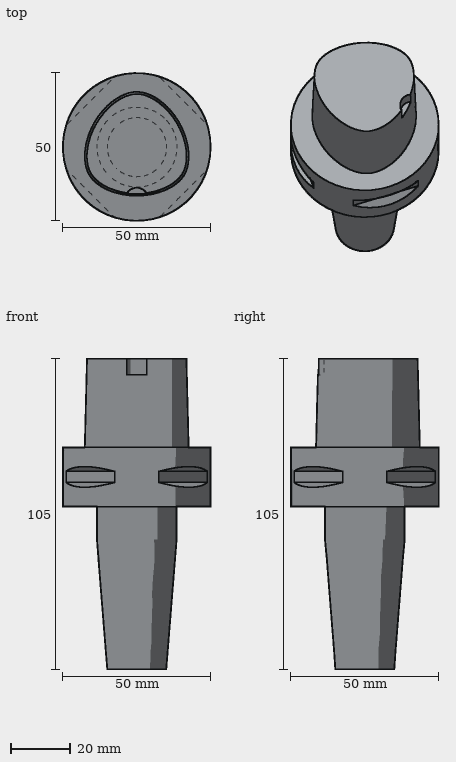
import cadquery as cq
import math


shank_height = 30.0
shank_base_width = 35.15
shank_taper = 1 / 20
lobe_amplitude = 1.05
lobe_count = 3
lobe_half_angle = 35.0
points_per_face = 9

notch_diameter = 8.0
notch_depth = 5.5
notch_center_y = -17.8

flange_diameter = 50.0
flange_height = 20.0

slot_count = 4
slot_first_angle = 45.0
slot_floor_distance = 22.15
slot_floor_height = 3.7
slot_flank_angle = 30.0
slot_cut_margin = 1.0

neck_diameter = 27.0
neck_height = 11.2
tip_diameter = 20.0
overall_height = 105.0

flange_bottom = -flange_height
neck_bottom = flange_bottom - neck_height
tip_bottom = shank_height - overall_height


def shank_point(width, normal_angle, z):
    """Point of the lobed profile whose outward normal has the given angle, in degrees from +Y."""
    angle = math.radians(normal_angle)
    support = width / 2 + lobe_amplitude * math.cos(lobe_count * angle)
    slope = -lobe_count * lobe_amplitude * math.sin(lobe_count * angle)
    x = support * math.sin(angle) + slope * math.cos(angle)
    y = support * math.cos(angle) - slope * math.sin(angle)
    return cq.Vector(x, y, z)


def shank_edge(width, start_angle, end_angle, z):
    """Smooth curve along one face of the profile, tangent to its neighbours."""
    step = (end_angle - start_angle) / (points_per_face - 1)
    points = [shank_point(width, start_angle + i * step, z) for i in range(points_per_face)]
    tangents = [
        cq.Vector(math.cos(math.radians(a)), -math.sin(math.radians(a)), 0)
        for a in (start_angle, end_angle)
    ]
    return cq.Edge.makeSpline(points, tangents=tangents)


def shank_profile(width, z):
    pitch = 360 / lobe_count
    edges = []
    for i in range(lobe_count):
        lobe_angle = i * pitch
        lobe_start = lobe_angle - lobe_half_angle
        lobe_end = lobe_angle + lobe_half_angle
        edges.append(shank_edge(width, lobe_start, lobe_end, z))
        edges.append(shank_edge(width, lobe_end, lobe_start + pitch, z))
    return cq.Wire.assembleEdges(edges)


def make_shank():
    top_width = shank_base_width - shank_taper * shank_height
    base = shank_profile(shank_base_width, 0)
    top = shank_profile(top_width, shank_height)
    return cq.Workplane(obj=cq.Solid.makeLoft([base, top], True))


def make_notch():
    return (
        cq.Workplane("XY", origin=(0, notch_center_y, shank_height - notch_depth))
        .circle(notch_diameter / 2)
        .extrude(notch_depth)
    )


def make_flange_and_nose():
    """Flange, neck and cone turned in one piece about the Z axis."""
    return (
        cq.Workplane("XZ")
        .moveTo(0, 0)
        .lineTo(flange_diameter / 2, 0)
        .lineTo(flange_diameter / 2, flange_bottom)
        .lineTo(neck_diameter / 2, flange_bottom)
        .lineTo(neck_diameter / 2, neck_bottom)
        .lineTo(tip_diameter / 2, tip_bottom)
        .lineTo(0, tip_bottom)
        .close()
        .revolve(360, (0, 0), (0, 1))
    )


def make_slot(angle):
    """Cutter with a trapezoid section that widens outwards from the slot floor."""
    outer_distance = flange_diameter / 2 + slot_cut_margin
    flare = (outer_distance - slot_floor_distance) * math.tan(math.radians(slot_flank_angle))
    floor_half = slot_floor_height / 2
    outer_half = floor_half + flare
    section = [
        (slot_floor_distance, -floor_half),
        (outer_distance, -outer_half),
        (outer_distance, outer_half),
        (slot_floor_distance, floor_half),
    ]
    return (
        cq.Workplane("XZ", origin=(0, 0, flange_bottom / 2))
        .polyline(section)
        .close()
        .extrude(flange_diameter / 2, both=True)
        .rotate((0, 0, 0), (0, 0, 1), angle)
    )


result = make_flange_and_nose().union(make_shank()).cut(make_notch())
for i in range(slot_count):
    result = result.cut(make_slot(slot_first_angle + i * 360 / slot_count))